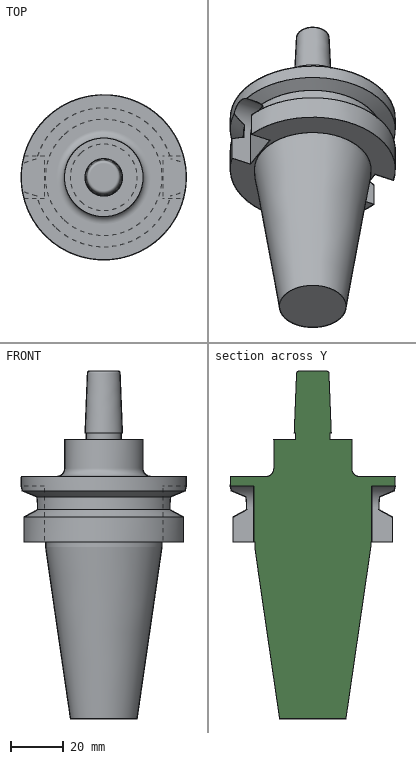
import cadquery as cq

total_height = 132.6
shank_taper_top = 65.4
flange_bottom = 67.4
lower_rim_top = 76.9
groove_bottom = 79.7
groove_top = 84.6
upper_rim_bottom = 86.9
flange_top = 92.5
boss_top = 106.5
neck_top = 108.9

shank_small_radius = 12.7
shank_large_radius = 22.21
flange_radius = 31.5
groove_radius = 26.5
boss_radius = 15.0
neck_radius = 6.8
pin_base_radius = 7.2
pin_tip_radius = 6.2
pin_edge_fillet = 1.0
boss_fillet = 2.9

keyway_width = 16.2
keyway_top = 88.7
keyway_floor = 22.5


def turned_body():
    """Shank, grooved flange and boss revolved about Z."""
    return (
        cq.Workplane("XZ")
        .lineTo(shank_small_radius, 0)
        .lineTo(shank_large_radius, shank_taper_top)
        .lineTo(shank_large_radius, flange_bottom)
        .lineTo(flange_radius, flange_bottom)
        .lineTo(flange_radius, lower_rim_top)
        .lineTo(groove_radius, groove_bottom)
        .lineTo(groove_radius, groove_top)
        .lineTo(flange_radius, upper_rim_bottom)
        .lineTo(flange_radius, flange_top)
        .lineTo(boss_radius + boss_fillet, flange_top)
        .radiusArc((boss_radius, flange_top + boss_fillet), boss_fillet)
        .lineTo(boss_radius, boss_top)
        .lineTo(0, boss_top)
        .close()
        .revolve(360, (0, 0, 0), (0, 1, 0))
    )


def tapered_pin():
    """Relief neck and tapered pin with a rounded tip edge."""
    neck = cq.Workplane("XY", origin=(0, 0, boss_top)).circle(neck_radius).extrude(neck_top - boss_top)
    pin = (
        cq.Workplane("XY", origin=(0, 0, neck_top))
        .circle(pin_base_radius)
        .workplane(offset=total_height - neck_top)
        .circle(pin_tip_radius)
        .loft()
        .faces(">Z")
        .edges()
        .fillet(pin_edge_fillet)
    )
    return neck.union(pin)


def keyway_cutter(side):
    """Round-topped keyway, open at the flange bottom; side is -1 or +1 along X."""
    half_width = keyway_width / 2
    arc_center = keyway_top - half_width
    return (
        cq.Workplane("YZ", origin=(side * keyway_floor, 0, 0))
        .moveTo(-half_width, flange_bottom)
        .lineTo(-half_width, arc_center)
        .threePointArc((0, keyway_top), (half_width, arc_center))
        .lineTo(half_width, flange_bottom)
        .close()
        .extrude(side * flange_radius)
    )


result = turned_body().union(tapered_pin())
for side in (-1, 1):
    result = result.cut(keyway_cutter(side))